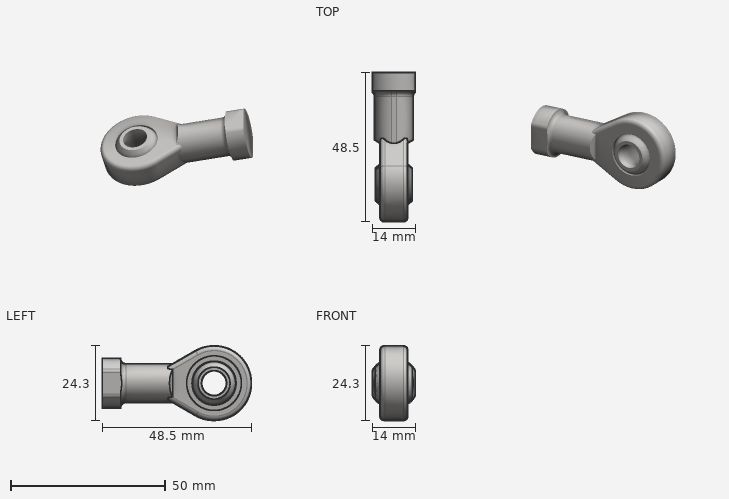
import cadquery as cq
import math


eye_radius = 12.15
eye_width = 9.0
eye_edge_fillet = 1.5
eye_taper_angle = 30.0

shank_end_y = 36.3
collar_length = 6.0
collar_radius = 8.1
wrench_size = 14.0
wrench_corner_radius = 2.0
neck_radius = 6.35
neck_flat_height = 6.3
neck_root_fillet = 1.65
neck_bevel_angle = 30.0

race_outer_diameter = 17.75
race_opening_diameter = 14.0
race_opening_chamfer = 0.15
ball_diameter = 15.875
ball_width = 12.0
bore_diameter = 8.0

selection_margin = 0.2

collar_start_y = shank_end_y - collar_length
taper_slope = math.tan(math.radians(eye_taper_angle))
taper_apex_y = eye_radius / math.sin(math.radians(eye_taper_angle))
neck_start_y = taper_apex_y - neck_flat_height / taper_slope


def cylinder_along_x(diameter, width):
    return cq.Workplane("YZ").circle(diameter / 2).extrude(width / 2, both=True)


def cylinder_along_y(radius, start_y, end_y):
    plane = cq.Workplane("XZ", origin=(0, start_y, 0))
    return plane.circle(radius).extrude(start_y - end_y)


def make_eye():
    """Teardrop plate whose straight sides run tangent to the round and meet inside the neck."""
    tangent_y = eye_radius * math.sin(math.radians(eye_taper_angle))
    tangent_z = eye_radius * math.cos(math.radians(eye_taper_angle))
    plate = (
        cq.Workplane("YZ")
        .moveTo(taper_apex_y, 0)
        .lineTo(tangent_y, tangent_z)
        .threePointArc((-eye_radius, 0), (tangent_y, -tangent_z))
        .close()
        .extrude(eye_width / 2, both=True)
    )
    return plate.faces("<X or >X").edges().fillet(eye_edge_fillet)


def make_neck():
    """Round neck with a narrow flat on top and bottom."""
    neck = cylinder_along_y(neck_radius, neck_start_y, collar_start_y)
    flats = cq.Workplane("XY").box(4 * neck_radius, 4 * taper_apex_y, 2 * neck_flat_height)
    return neck.intersect(flats)


def make_wrench_envelope():
    """Collar section: a round with two wrench flats at X, blended by rounded corners."""
    section = (
        cylinder_along_y(collar_radius, 0, shank_end_y)
        .intersect(cq.Workplane("XY").box(wrench_size, 4 * shank_end_y, 4 * collar_radius))
    )
    return section.edges("|Y").edges("<X or >X").fillet(wrench_corner_radius)


def make_neck_bevel_envelope():
    """Outline that narrows the neck from its full width down to the eye width."""
    half_reach = wrench_size
    bevel_end_y = neck_start_y + (half_reach - eye_width / 2) * math.tan(math.radians(neck_bevel_angle))
    return (
        cq.Workplane("XY")
        .moveTo(-eye_width / 2, neck_start_y)
        .lineTo(eye_width / 2, neck_start_y)
        .lineTo(half_reach, bevel_end_y)
        .lineTo(half_reach, shank_end_y)
        .lineTo(-half_reach, shank_end_y)
        .lineTo(-half_reach, bevel_end_y)
        .close()
        .extrude(2 * collar_radius, both=True)
    )


def make_shank():
    """Neck and collar joined by a root fillet, then cut to the wrench flats and the neck bevels."""
    shank = make_neck().union(cylinder_along_y(collar_radius, collar_start_y, shank_end_y))
    root_reach = neck_radius + selection_margin
    root_edges = cq.selectors.BoxSelector(
        (-root_reach, collar_start_y - selection_margin, -root_reach),
        (root_reach, collar_start_y + selection_margin, root_reach),
        boundingbox=True,
    )
    shank = shank.edges(root_edges).fillet(neck_root_fillet)
    return shank.intersect(make_wrench_envelope()).intersect(make_neck_bevel_envelope())


def make_housing():
    """Shank and eye in one piece, bored through for the race."""
    return make_shank().union(make_eye()).cut(cylinder_along_x(race_outer_diameter, eye_width))


def make_race():
    """Ring flush with the eye, hollowed to the ball with a short straight rim, chamfered at the mouth."""
    ring = cylinder_along_x(race_outer_diameter, eye_width)
    opening = cylinder_along_x(race_opening_diameter, eye_width)
    ring = ring.cut(opening)
    mouth_edges = cq.selectors.RadiusNthSelector(0)
    ring = ring.faces("<X or >X").edges(mouth_edges).chamfer(race_opening_chamfer)
    return ring.cut(cq.Workplane("XY").sphere(ball_diameter / 2))


def make_ball():
    """Sphere with flat ends and a through bore."""
    ball = cq.Workplane("XY").sphere(ball_diameter / 2)
    return ball.intersect(cylinder_along_x(ball_diameter, ball_width)).cut(
        cylinder_along_x(bore_diameter, ball_width)
    )


housing = make_housing()
race = make_race()
ball = make_ball()

result = cq.Compound.makeCompound([housing.val(), race.val(), ball.val()])